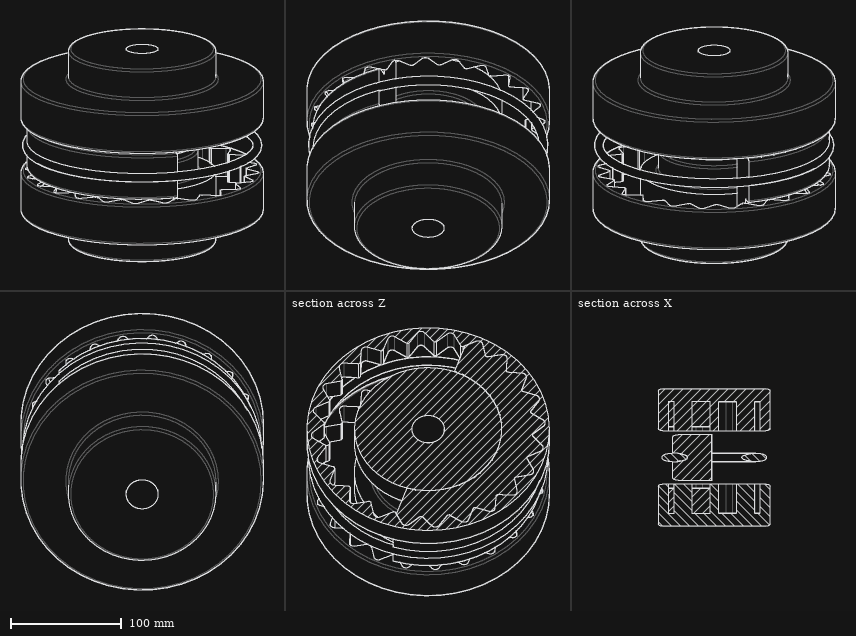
import cadquery as cq
import math

total_length = 181.1
half_length = total_length / 2
edge_radius = 2.2
selection_margin = 0.2

flange_radius = 109.5
flange_outer_z = 62.2
flange_inner_z = 23.9
boss_radius = 66.5
collar_radius = 50.4
collar_end_z = 2.8
bore_radius = 14.5
groove_depth = 26.3
groove_floor_z = flange_inner_z + groove_depth

tooth_count = 24
tooth_pitch = 360 / tooth_count
root_radius = 94.0
root_flat = 2.2
space_tip_radius = 105.3
space_tip_round = 4.0
space_half_angle = 38.0

element_radius = 104.0
neck_radius = 92.6
element_half_width = 20.8
neck_fillet = 4.8
shoulder_recess = 3.7
cut_offset = 2.2

ring_wire_radius = 4.0
ring_radius = element_radius


def tooth_space(bottom_z, top_z):
    """One V-shaped tooth space along +X, with a rounded tip."""
    slope = math.radians(space_half_angle)
    round_centre = space_tip_radius - space_tip_round
    tangent_x = round_centre + space_tip_round * math.sin(slope)
    tangent_y = space_tip_round * math.cos(slope)
    half_pitch = math.radians(tooth_pitch / 2)
    mouth_y = root_radius * math.sin(half_pitch) - root_flat / 2 * math.cos(half_pitch)
    mouth_x = tangent_x - (mouth_y - tangent_y) / math.tan(slope)
    return (
        cq.Workplane("XY", origin=(0, 0, bottom_z))
        .moveTo(boss_radius, -mouth_y)
        .lineTo(mouth_x, -mouth_y)
        .lineTo(tangent_x, -tangent_y)
        .threePointArc((space_tip_radius, 0), (tangent_x, tangent_y))
        .lineTo(mouth_x, mouth_y)
        .lineTo(boss_radius, mouth_y)
        .close()
        .extrude(top_z - bottom_z)
    )


def cylinder(radius, bottom_z, top_z):
    """Solid cylinder on the coupling axis between two heights."""
    return cq.Workplane("XY", origin=(0, 0, bottom_z)).circle(radius).extrude(top_z - bottom_z)


def fillet_circle(body, radius, z, fillet_radius):
    """Round the circular edge of the given radius at height z."""
    reach = radius + selection_margin
    edge_box = cq.selectors.BoxSelector(
        (-reach, -reach, z - selection_margin),
        (reach, reach, z + selection_margin),
        boundingbox=True,
    )
    return body.edges(edge_box).fillet(fillet_radius)


def toothed_ring():
    """The full shape of the upper toothed recess, from the flange face to its floor."""
    ring = cylinder(root_radius, flange_inner_z, groove_floor_z)
    space = tooth_space(flange_inner_z, groove_floor_z)
    for index in range(tooth_count):
        ring = ring.union(space.rotate((0, 0, 0), (0, 0, 1), (index + 0.5) * tooth_pitch))
    return ring.cut(cylinder(boss_radius, flange_inner_z, groove_floor_z))


def upper_hub(recess):
    """Flange with an outer boss, an inner collar, a toothed recess and a through bore."""
    flange = cylinder(flange_radius, flange_inner_z, flange_outer_z).edges().fillet(edge_radius)
    boss = cylinder(boss_radius, groove_floor_z, half_length).edges(">Z").fillet(edge_radius)
    collar = cylinder(collar_radius, collar_end_z, flange_outer_z).edges("<Z").fillet(edge_radius)
    hub = flange.union(boss).union(collar)
    hub = fillet_circle(hub, boss_radius, flange_outer_z, edge_radius)
    hub = fillet_circle(hub, collar_radius, flange_inner_z, edge_radius)
    return hub.cut(recess).cut(cylinder(bore_radius, 0, half_length))


def retaining_ring():
    """Round wire ring seated half its thickness deep in the element."""
    wire = cq.Workplane("XZ").center(ring_radius, 0).circle(ring_wire_radius)
    return wire.revolve(360, (-ring_radius, 0), (-ring_radius, 1))


def upper_element_teeth(recess):
    """Teeth in the upper flange recess, blended into the neck that carries them."""
    shoulder_z = flange_inner_z + shoulder_recess
    neck = cylinder(neck_radius, 0, groove_floor_z)
    shoulder = cylinder(flange_radius, shoulder_z, groove_floor_z)
    blend = fillet_circle(neck.union(shoulder), neck_radius, shoulder_z, neck_fillet)
    neck_sleeve = cylinder(root_radius, 0, flange_inner_z).cut(cylinder(boss_radius, 0, flange_inner_z))
    return blend.intersect(recess.union(neck_sleeve))


def flexible_element(recess, ring):
    """Half ring with teeth on both sides and a groove for the retaining ring."""
    band = cylinder(element_radius, -element_half_width, element_half_width).edges().fillet(edge_radius)
    band = band.cut(cylinder(boss_radius, -element_half_width, element_half_width))
    upper_teeth = upper_element_teeth(recess)
    element = band.union(upper_teeth).union(upper_teeth.mirror("XY"))
    front_half = (
        cq.Workplane("XY", origin=(0, -cut_offset - flange_radius, 0))
        .box(2 * flange_radius, flange_radius, total_length, centered=(True, False, True))
    )
    return element.intersect(front_half).cut(ring)


tooth_recess = toothed_ring()
hub_top = upper_hub(tooth_recess)
hub_bottom = hub_top.mirror("XY")
wire_ring = retaining_ring()
element = flexible_element(tooth_recess, wire_ring)

result = cq.Compound.makeCompound([
    hub_top.val(),
    hub_bottom.val(),
    element.val(),
    wire_ring.val(),
])